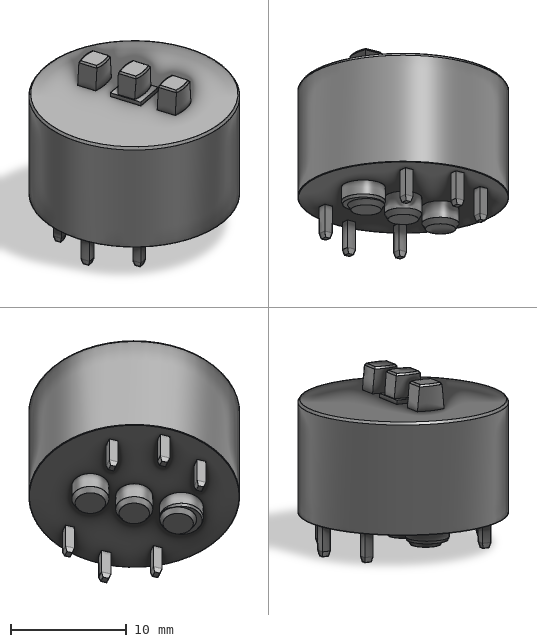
import cadquery as cq

body_diameter = 18.2
body_height = 10.01
top_edge_inset = 0.16
top_edge_drop = 0.24
bottom_edge_chamfer = 0.05

column_pitch = 4.0

boss_diameter = 3.2
boss_length = 2.0
boss_cone_height = 0.5
boss_cone_inset = 0.3

collar_diameter = 3.8
collar_x = -4.3
collar_length = 1.53
collar_cone_height = 0.25
collar_cone_inset = 0.11

centre_pin_y = 7.8
centre_pin_length = 3.0
centre_pin_size = (0.87, 0.76)
centre_tip_size = (0.53, 0.58)
side_pin_y = 5.8
side_pin_length = 2.95
side_pin_size = (0.8, 0.82)
side_tip_size = (0.5, 0.6)
pin_tip_height = 0.5

plinth_width = 3.08
plinth_depth = 2.93
plinth_height = 0.36

button_bevel_height = 0.18
button_bevel_inset = 0.13
centre_button_height = 2.55
centre_button_half_width = 1.05
centre_button_base_half_depth = 1.38
centre_button_top_half_depth = 1.18
centre_button_side_radius = 4.55
side_button_height = 2.35
side_button_corner_half_width = 0.91
side_button_base_half_depth = 1.31
side_button_top_half_depth = 1.11
side_button_outer_bulges = (0.2, 0.15)
side_button_inner_bulges = (0.15, 0.15)


def make_body():
    """Plain cylinder with a bevelled top rim and a small bevel at the bottom."""
    body = cq.Workplane("XY").circle(body_diameter / 2).extrude(body_height)
    body = body.faces(">Z").chamfer(top_edge_drop, top_edge_inset)
    return body.faces("<Z").chamfer(bottom_edge_chamfer)


def make_boss(x, diameter, length, cone_height, cone_inset):
    """Round boss hanging from the housing, ending in a short cone."""
    radius = diameter / 2
    straight_length = length - cone_height
    profile = [
        (0, 0),
        (radius, 0),
        (radius, -straight_length),
        (radius - cone_inset, -length),
        (0, -length),
    ]
    boss = cq.Workplane("XZ").polyline(profile).close().revolve(360, (0, 0), (0, 1))
    return boss.translate((x, 0, 0))


def make_pin(x, y, length, size, tip_size):
    """Rectangular pin hanging from the housing, with a tapered tip."""
    straight_length = length - pin_tip_height
    shank = cq.Workplane("XY").rect(*size).extrude(-straight_length)
    tip = (
        cq.Workplane("XY", origin=(0, 0, -straight_length))
        .rect(*size)
        .workplane(offset=-pin_tip_height)
        .rect(*tip_size)
        .loft(ruled=True)
    )
    return shank.union(tip).translate((x, y, 0))


def bulged_outline(z, half_width, half_depth, left_bulge, right_bulge):
    """Closed wire: straight front and back edges, sides bowed out by the bulges."""
    return (
        cq.Workplane("XY", origin=(0, 0, z))
        .moveTo(-half_width, -half_depth)
        .lineTo(half_width, -half_depth)
        .threePointArc((half_width + right_bulge, 0), (half_width, half_depth))
        .lineTo(-half_width, half_depth)
        .threePointArc((-half_width - left_bulge, 0), (-half_width, -half_depth))
        .close()
        .val()
    )


def make_button(height, half_widths, half_depths, left_bulges, right_bulges):
    """Button with a (base, top) pair for each size, closed by a bevelled cap."""
    bevel_z = height - button_bevel_height
    base = bulged_outline(0, half_widths[0], half_depths[0], left_bulges[0], right_bulges[0])
    rim = bulged_outline(bevel_z, half_widths[1], half_depths[1], left_bulges[1], right_bulges[1])
    top = bulged_outline(
        height,
        half_widths[1] - button_bevel_inset,
        half_depths[1] - button_bevel_inset,
        left_bulges[1],
        right_bulges[1],
    )
    button = cq.Solid.makeLoft([base, rim, top], True)
    return cq.Workplane("XY").add(button).translate((0, 0, body_height))


def make_centre_button():
    """Middle button: its sides are upright, so the corners spread as the depth tapers."""
    half_depths = (centre_button_base_half_depth, centre_button_top_half_depth)
    radius = centre_button_side_radius
    bulges = [radius - (radius**2 - depth**2) ** 0.5 for depth in half_depths]
    half_widths = [centre_button_half_width - bulge for bulge in bulges]
    return make_button(centre_button_height, half_widths, half_depths, bulges, bulges)


def make_left_button():
    """Left button, with its stronger bulge facing outwards."""
    button = make_button(
        side_button_height,
        (side_button_corner_half_width, side_button_corner_half_width),
        (side_button_base_half_depth, side_button_top_half_depth),
        side_button_outer_bulges,
        side_button_inner_bulges,
    )
    return button.translate((-column_pitch, 0, 0))


def make_plinth():
    """Low rectangular step around the foot of the middle button."""
    plinth = cq.Workplane("XY", origin=(0, 0, body_height))
    return plinth.rect(plinth_width, plinth_depth).extrude(plinth_height)


result = make_body()

for column_x in (-column_pitch, 0, column_pitch):
    result = result.union(
        make_boss(column_x, boss_diameter, boss_length, boss_cone_height, boss_cone_inset)
    )
result = result.union(
    make_boss(collar_x, collar_diameter, collar_length, collar_cone_height, collar_cone_inset)
)

for row in (-1, 1):
    result = result.union(
        make_pin(0, row * centre_pin_y, centre_pin_length, centre_pin_size, centre_tip_size)
    )
    for column_x in (-column_pitch, column_pitch):
        result = result.union(
            make_pin(column_x, row * side_pin_y, side_pin_length, side_pin_size, side_tip_size)
        )

left_button = make_left_button()
result = result.union(make_plinth()).union(make_centre_button())
result = result.union(left_button).union(left_button.mirror("YZ"))